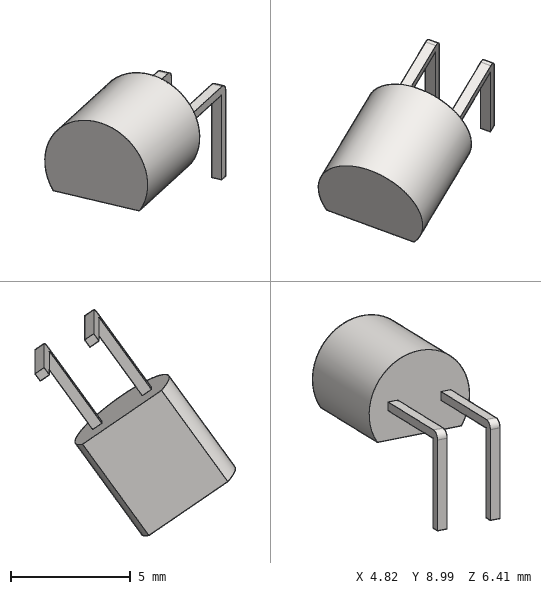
import cadquery as cq
import math

body_diameter = 4.82
body_length = 4.81
body_height = 3.73

total_length = 8.99
total_height = 6.41
lead_width = 0.47
lead_thickness = 0.39
lead_pitch = 2.535
bend_radius = 0.34

body_radius = body_diameter / 2
flat_z = body_radius - body_height
flat_half_width = math.sqrt(body_radius**2 - flat_z**2)
lead_bottom_z = body_radius - total_height


def make_body():
    """D-shaped body with its front face at Y = 0 and its axis on Z = 0."""
    return (
        cq.Workplane("XZ")
        .moveTo(-flat_half_width, flat_z)
        .threePointArc((0, body_radius), (flat_half_width, flat_z))
        .close()
        .extrude(-body_length)
    )


def make_lead(center_x):
    """L-shaped lead, underside on the body axis, rounded only outside its bend."""
    inner_y = total_length - lead_thickness
    return (
        cq.Workplane("YZ", origin=(center_x, 0, 0))
        .moveTo(body_length, 0)
        .lineTo(inner_y, 0)
        .lineTo(inner_y, lead_bottom_z)
        .lineTo(total_length, lead_bottom_z)
        .lineTo(total_length, lead_thickness - bend_radius)
        .radiusArc((total_length - bend_radius, lead_thickness), -bend_radius)
        .lineTo(body_length, lead_thickness)
        .close()
        .extrude(lead_width / 2, both=True)
    )


result = make_body()
for side in (-1, 1):
    result = result.union(make_lead(side * lead_pitch / 2))